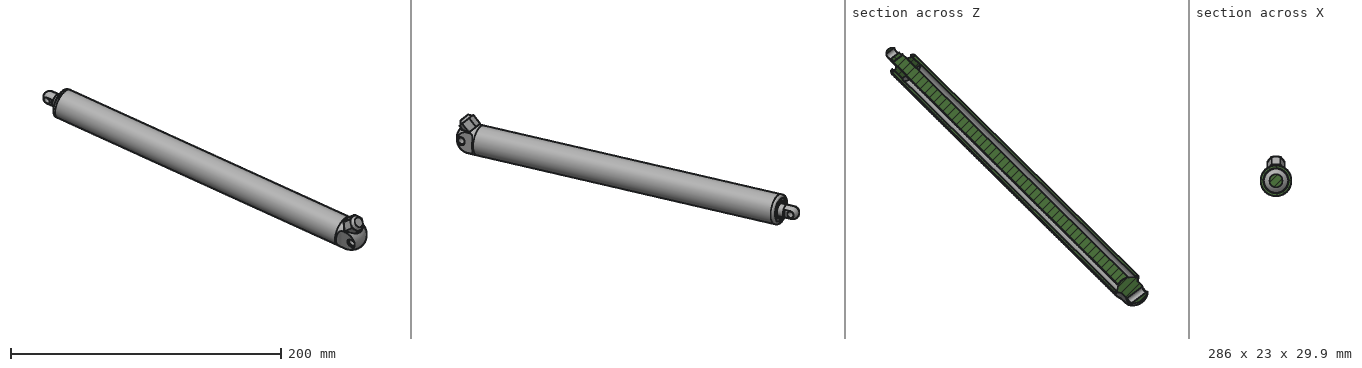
import cadquery as cq
import math

length = 286.0
body_radius = 11.5
bore_radius = 18.3 / 2
pin_hole_diameter = 5.1

rod_radius = 10.0 / 2
eye_width = 8.0
eye_flat_end = 9.7
eye_length = 10.5
eye_hole_x = 5.0

head_front = 15.0
head_back = 17.5
head_rounding = 1.7
spigot_length = 8.5
recess_radius = bore_radius
recess_depth = 1.5
collar_setback = 0.5
collar_radius = 14.3 / 2
collar_chamfer = 1.0

clevis_front = 267.5
clevis_width = 16.0
clevis_flare_start = 268.5
clevis_hole_x = 279.7
clevis_hole_chamfer = 1.0
ball_center_x = length - body_radius

fitting_tilt = 45.0
fitting_across_flats = 11.5
fitting_length = 11.0
fitting_tip_height = 2.5
fitting_tip_radius = 3.7
fitting_base_x = 273.5
fitting_base_z = 8.0
pocket_radius = 14.3 / 2


def cylinder_along_x(radius, start, end):
    return cq.Workplane("YZ", origin=(start, 0, 0)).circle(radius).extrude(end - start)


def cross_hole(x):
    return (
        cq.Workplane("XZ", origin=(x, 0, 0))
        .circle(pin_hole_diameter / 2)
        .extrude(body_radius, both=True)
    )


def fitting_plane():
    """Seat of the fitting: its normal leans from +Z toward +X."""
    tilt = math.radians(fitting_tilt)
    return cq.Plane(
        origin=(fitting_base_x, 0, fitting_base_z),
        xDir=(0, 1, 0),
        normal=(math.sin(tilt), 0, math.cos(tilt)),
    )


def make_rod():
    return cylinder_along_x(rod_radius, eye_length, clevis_front)


def make_rod_eye():
    diagonal = rod_radius * math.sqrt(0.5)
    eye = (
        cq.Workplane("XZ")
        .moveTo(0, 0)
        .threePointArc((rod_radius - diagonal, diagonal), (rod_radius, rod_radius))
        .lineTo(eye_length, rod_radius)
        .lineTo(eye_length, 0)
        .close()
        .revolve(360, (0, 0, 0), (1, 0, 0))
    )
    half_width = eye_width / 2
    for side in (-1, 1):
        side_cut = cq.Workplane("XY").box(
            eye_flat_end, rod_radius, 2 * rod_radius, centered=(False, True, True)
        ).translate((0, side * (half_width + rod_radius / 2), 0))
        eye = eye.cut(side_cut)
    return eye.cut(cross_hole(eye_hole_x))


def make_head():
    spigot_end = head_back + spigot_length
    recess_floor = head_front + recess_depth
    flange = cylinder_along_x(body_radius, head_front, head_back)
    flange = flange.faces("<X").edges().fillet(head_rounding)
    flange = flange.cut(cylinder_along_x(recess_radius, head_front, recess_floor))
    collar = cylinder_along_x(collar_radius, head_front + collar_setback, spigot_end)
    collar = collar.faces("<X").edges().chamfer(collar_chamfer)
    spigot = cylinder_along_x(bore_radius, recess_floor, spigot_end)
    head = flange.union(spigot).union(collar)
    return head.cut(cylinder_along_x(rod_radius, head_front, spigot_end))


def make_tube():
    tube = cylinder_along_x(body_radius, head_back, clevis_front)
    return tube.cut(cylinder_along_x(bore_radius, head_back, clevis_front))


def make_clevis():
    clevis = cylinder_along_x(body_radius, clevis_front, ball_center_x)
    clevis = clevis.union(cq.Workplane("XY").sphere(body_radius).translate((ball_center_x, 0, 0)))
    half_width = clevis_width / 2
    flare_run = body_radius - half_width
    flare_end = clevis_flare_start + flare_run
    for side in (-1, 1):
        side_cut = (
            cq.Workplane("XY", origin=(0, 0, -body_radius))
            .moveTo(clevis_flare_start, side * body_radius)
            .radiusArc((flare_end, side * half_width), -side * flare_run)
            .lineTo(length, side * half_width)
            .lineTo(length, side * body_radius)
            .close()
            .extrude(2 * body_radius)
        )
        clevis = clevis.cut(side_cut)
    pocket = cq.Workplane(fitting_plane()).circle(pocket_radius).extrude(fitting_length)
    clevis = clevis.cut(cross_hole(clevis_hole_x))
    for side in (-1, 1):
        countersink = cq.Solid.makeCone(
            pin_hole_diameter / 2 + clevis_hole_chamfer,
            pin_hole_diameter / 2,
            clevis_hole_chamfer,
            pnt=cq.Vector(clevis_hole_x, side * half_width, 0),
            dir=cq.Vector(0, -side, 0),
        )
        clevis = clevis.cut(cq.Workplane(countersink))
    return clevis.cut(pocket)


def make_fitting():
    inner_radius = fitting_across_flats / 2
    corner_radius = inner_radius / math.cos(math.pi / 6)
    shoulder = fitting_length - fitting_tip_height
    hexagon = cq.Workplane(fitting_plane()).polygon(6, 2 * corner_radius).extrude(shoulder)
    tip = (
        cq.Workplane(fitting_plane())
        .workplane(offset=shoulder)
        .circle(inner_radius)
        .workplane(offset=fitting_tip_height)
        .circle(fitting_tip_radius)
        .loft()
    )
    return hexagon.union(tip)


rod = make_rod()
rod_eye = make_rod_eye()
head = make_head()
tube = make_tube()
clevis = make_clevis()
fitting = make_fitting()
result = cq.Compound.makeCompound(
    [rod.val(), rod_eye.val(), head.val(), tube.val(), clevis.val(), fitting.val()]
)